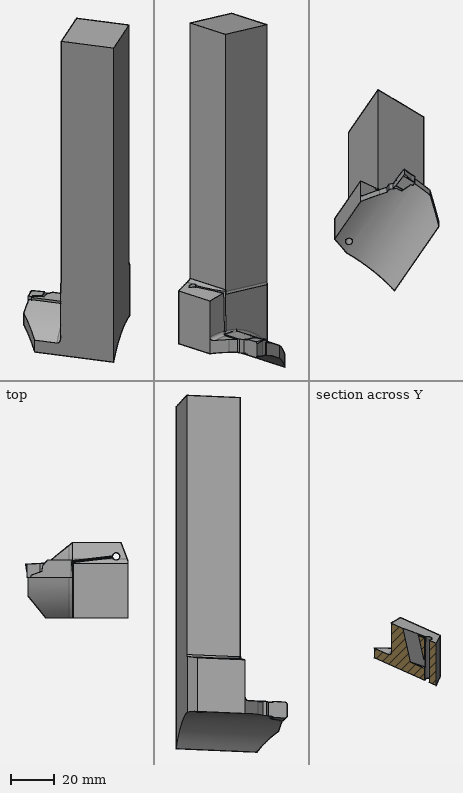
import cadquery as cq
import math

LENGTH = 47.0
DEPTH = 34.7
HEIGHT = 160.6

SHANK = 25.0
SHANK_LEFT = LENGTH - SHANK

FOOT_STEP = 0.3
FOOT_LEFT = SHANK_LEFT - FOOT_STEP
FOOT_TOP = 36.8
BLEND_RADIUS = 2.4

HEAD_BACK_RIGHT = 43.8
HEAD_BEVEL_START = 26.2
HEAD_TOP_BACK = 35.3
HEAD_TOP_FRONT = 37.5
HEAD_BLEND_BACK = 27.1
HEAD_BLEND_TOP = 38.9

ARC_RADIUS = 33.0
ARC_Y = SHANK
UNDERSIDE_AXIS_Z = -math.sqrt(ARC_RADIUS**2 - ARC_Y**2)
BLADE_THICKNESS = 6.1
SHELF_AXIS_Z = UNDERSIDE_AXIS_Z + BLADE_THICKNESS
SHELF_FILLET = 1.8

BLADE_LEFT = 1.1
BLADE_FRONT_LEFT = 9.3
BLADE_BEVEL_END = 10.1
RIDGE_BACK_LEFT = 10.1
BLADE_BACK_LEFT = 11.7
BLADE_BACK_BEND = (14.6, 29.0)

RIDGE_FRONT = 18.6
RIDGE_BACK = 26.7
RIDGE_TOP = 18.2
RIDGE_FILLET = 0.8

HOLE_CENTRE = (41.6, 28.3)
HOLE_RADIUS = 1.6
SLIT_WIDTH = 1.0
SLIT_ANGLE = 6.7
SLIT_TILT = 1.5

INSERT_BACK = 24.7
INSERT_TAIL = (8.8, 25.2)
INSERT_NOSE_LEFT = 0.6
INSERT_NOSE_FRONT = 20.9
INSERT_SEAT = [(7.9, 24.0), (7.5, 21.4), (6.9, 21.2), (2.5, 19.6), (2.4, RIDGE_FRONT)]
INSERT_BOTTOM = 11.1
INSERT_TOP = 18.6
INSERT_CHAMFER = 0.8
NECK_LEFT = 6.7
NECK_BOTTOM = 11.5
NECK_TOP = RIDGE_TOP


def arc_middle(centre, radius, degrees):
    """Point on a circle, used as the middle of a rounding arc."""
    angle = math.radians(degrees)
    return centre[0] + radius * math.cos(angle), centre[1] + radius * math.sin(angle)


def prism_along_z(points):
    """Upright prism over the full height of the tool."""
    return cq.Workplane("XY").polyline(points).close().extrude(HEIGHT)


def insert_outline():
    return [
        (0, INSERT_BACK),
        INSERT_TAIL,
        *INSERT_SEAT,
        (INSERT_NOSE_LEFT, RIDGE_FRONT),
        (INSERT_NOSE_LEFT, INSERT_NOSE_FRONT),
    ]


def make_shank():
    return cq.Workplane("XY").box(SHANK, SHANK, HEIGHT, centered=False).translate((SHANK_LEFT, 0, 0))


def make_foot():
    """Lower part of the shank, standing slightly proud on the blade side."""
    blend_rise = math.sqrt(BLEND_RADIUS**2 - (BLEND_RADIUS - FOOT_STEP) ** 2)
    blend_top = FOOT_TOP + blend_rise
    blend_centre = (SHANK_LEFT - BLEND_RADIUS, blend_top)
    half_sweep = math.degrees(math.asin(blend_rise / BLEND_RADIUS)) / 2
    return (
        cq.Workplane("XZ")
        .moveTo(FOOT_LEFT, 0)
        .lineTo(FOOT_LEFT, FOOT_TOP)
        .threePointArc(arc_middle(blend_centre, BLEND_RADIUS, -half_sweep), (SHANK_LEFT, blend_top))
        .lineTo(LENGTH, blend_top)
        .lineTo(LENGTH, 0)
        .close()
        .extrude(-SHANK)
    )


def make_head():
    """Clamping head: sloped top blending into the shank, bevelled at the far corner."""
    side = (
        cq.Workplane("YZ")
        .moveTo(0, 0)
        .lineTo(DEPTH, 0)
        .lineTo(DEPTH, HEAD_TOP_BACK)
        .lineTo(HEAD_BLEND_BACK, HEAD_TOP_FRONT)
        .radiusArc((SHANK, HEAD_BLEND_TOP), BLEND_RADIUS)
        .lineTo(0, HEAD_BLEND_TOP)
        .close()
        .extrude(LENGTH)
    )
    outline = [
        (FOOT_LEFT, SHANK),
        (LENGTH, SHANK),
        (LENGTH, HEAD_BEVEL_START),
        (HEAD_BACK_RIGHT, DEPTH),
        (FOOT_LEFT, DEPTH),
    ]
    return side.intersect(prism_along_z(outline))


def make_blade():
    """Curved shelf, rounded into the foot and trimmed to the blade outline."""
    fillet_top = ARC_RADIUS + SHELF_FILLET
    fillet_start = FOOT_LEFT - SHELF_FILLET
    shelf = (
        cq.Workplane("XY")
        .lineTo(0, ARC_RADIUS)
        .lineTo(fillet_start, ARC_RADIUS)
        .threePointArc(
            arc_middle((fillet_start, fillet_top), SHELF_FILLET, -45),
            (FOOT_LEFT, fillet_top),
        )
        .lineTo(SHANK_LEFT, fillet_top)
        .lineTo(SHANK_LEFT, 0)
        .close()
        .revolve(360, (0, 0), (1, 0))
        .translate((0, ARC_Y, SHELF_AXIS_Z))
    )
    outline = [
        (BLADE_FRONT_LEFT, 0),
        (BLADE_LEFT, BLADE_BEVEL_END),
        (BLADE_LEFT, RIDGE_FRONT),
        INSERT_TAIL,
        (RIDGE_BACK_LEFT, RIDGE_BACK),
        (BLADE_BACK_LEFT, RIDGE_BACK),
        BLADE_BACK_BEND,
        (FOOT_LEFT, DEPTH),
        (SHANK_LEFT, DEPTH),
        (SHANK_LEFT, 0),
    ]
    return shelf.intersect(prism_along_z(outline))


def make_ridge():
    """Flat crest of the blade, with a small fillet against the foot."""
    fillet_start = FOOT_LEFT - RIDGE_FILLET
    fillet_top = RIDGE_TOP + RIDGE_FILLET
    side = (
        cq.Workplane("XZ")
        .lineTo(0, RIDGE_TOP)
        .lineTo(fillet_start, RIDGE_TOP)
        .threePointArc(
            arc_middle((fillet_start, fillet_top), RIDGE_FILLET, -45),
            (FOOT_LEFT, fillet_top),
        )
        .lineTo(SHANK_LEFT, fillet_top)
        .lineTo(SHANK_LEFT, 0)
        .close()
        .extrude(-DEPTH)
    )
    outline = [
        (BLADE_LEFT, RIDGE_FRONT),
        INSERT_TAIL,
        (RIDGE_BACK_LEFT, RIDGE_BACK),
        (SHANK_LEFT, RIDGE_BACK),
        (SHANK_LEFT, RIDGE_FRONT),
    ]
    return side.intersect(prism_along_z(outline))


def make_underside_cutter():
    return (
        cq.Workplane("YZ")
        .center(ARC_Y, UNDERSIDE_AXIS_Z)
        .circle(ARC_RADIUS)
        .extrude(LENGTH)
    )


def make_hole_cutter():
    return cq.Workplane("XY").center(*HOLE_CENTRE).circle(HOLE_RADIUS).extrude(HEIGHT)


def make_slit_cutter():
    """Narrow slit from the hole to the blade side, down to the top of the ridge fillet."""
    slit_depth = HEAD_BLEND_TOP - RIDGE_TOP - RIDGE_FILLET
    return (
        cq.Workplane("XY")
        .box(LENGTH, SLIT_WIDTH, slit_depth, centered=(False, True, False))
        .translate((-LENGTH, 0, -slit_depth))
        .rotate((0, 0, 0), (1, 0, 0), -SLIT_TILT)
        .rotate((0, 0, 0), (0, 0, 1), SLIT_ANGLE)
        .translate((*HOLE_CENTRE, HEAD_BLEND_TOP))
    )


def make_holder():
    return (
        make_shank()
        .union(make_foot())
        .union(make_head())
        .union(make_blade())
        .union(make_ridge())
        .cut(make_underside_cutter())
        .cut(make_hole_cutter())
        .cut(make_slit_cutter())
        .cut(prism_along_z(insert_outline()))
    )


def make_insert():
    """Cutting insert: chamfered nose and a lower neck that ends in the holder's seat."""
    side = [
        (0, INSERT_BOTTOM + INSERT_CHAMFER),
        (INSERT_CHAMFER, INSERT_BOTTOM),
        (NECK_LEFT, INSERT_BOTTOM),
        (NECK_LEFT, NECK_BOTTOM),
        (INSERT_TAIL[0], NECK_BOTTOM),
        (INSERT_TAIL[0], NECK_TOP),
        (NECK_LEFT, NECK_TOP),
        (NECK_LEFT, INSERT_TOP),
        (INSERT_CHAMFER, INSERT_TOP),
        (0, INSERT_TOP - INSERT_CHAMFER),
    ]
    body = cq.Workplane("XZ").polyline(side).close().extrude(-DEPTH)
    return body.intersect(prism_along_z(insert_outline()))


holder = make_holder()
insert = make_insert()

result = cq.Compound.makeCompound([holder.val(), insert.val()])